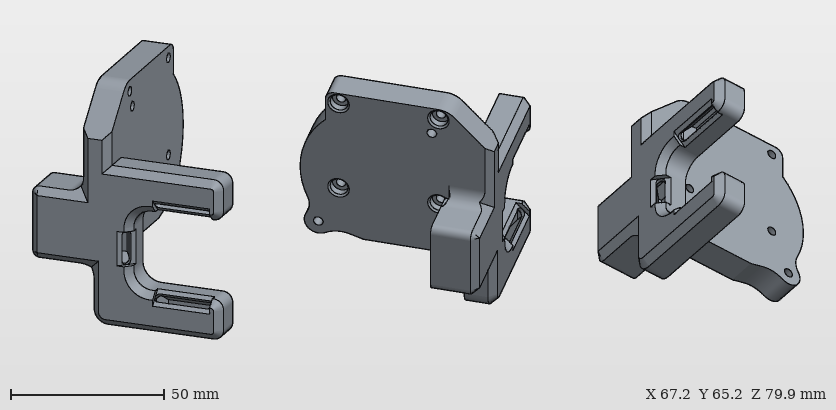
import cadquery as cq
import math


plate_thickness = 10.0
part_height = 79.94
slope_foot_height = 64.8
slope_radius = 8.0
plate_bottom = 23.0

fork_depth = 10.6
foot_left = 3.7
arm_width = 14.0
arm_gap = 27.56
arm_end = 49.29
web_width = 14.0
arm_tip_radius = 3.5
foot_radius = 5.0
throat_radius = 6.5

pad_left = -17.9
pad_bottom = 20.0
pad_height = 24.9
pad_depth = 16.0
pad_corner_radius = 2.5
blend_radius = 5.0

front_chamfer = 2.5

hole_diameter = 3.2
hole_pitch = 33.85
top_hole_inset = 4.0
first_hole_y = 18.25
counterbore_diameter = 6.0
counterbore_depth = 3.2
counterbore_chamfer = 0.65
extra_hole = (20.5, 70.0)

rear_edge = 56.6
rear_corner_radius = 3.0
plate_rear = 65.16
bulge_height = 48.5
upper_bulge_radius = 28.0
lower_bulge_radius = 29.5
ear_center = (58.95, 27.45)
ear_radius = 4.8
neck_radius = 7.3
hollow_radius = 10.9
hollow_center_y = 51.2
tail_y = 43.6

slot_width = 3.0
slot_depth = 1.5
arm_slot_length = 20.0
arm_slot_tip_margin = 4.0
throat_slot_length = 12.0
recess_depth = 4.54
arm_recess_width = 4.54
throat_recess_width = 5.0
chamber_width = 4.0
chamber_overhang = 0.3
chamber_depth = 7.4
chamber_back = 7.1
chamber_bevel = 3.0

relief_start = (-6.0, pad_depth)
relief_deepest = (-0.9, 14.05)
relief_end = (0.0, 14.7)

pad_top = pad_bottom + pad_height
throat_x = foot_left + web_width
throat_bottom = arm_width
throat_top = arm_width + arm_gap
fork_top = throat_top + arm_width
throat_mid = (throat_bottom + throat_top) / 2
arm_slot_x = arm_end - arm_slot_tip_margin - arm_slot_length / 2
top_hole_z = part_height - top_hole_inset
cut_size = 2 * part_height
match_tolerance = 0.01


def circle_point(center, radius, toward):
    """Point on a circle in the direction of another point."""
    distance = math.dist(center, toward)
    return tuple(c + radius * (t - c) / distance for c, t in zip(center, toward))


def arc_middle(center, radius, start, end):
    """Middle point of the shorter arc between two points of a circle."""
    return circle_point(center, radius, ((start[0] + end[0]) / 2, (start[1] + end[1]) / 2))


def outer_intersection(first, first_distance, second, second_distance):
    """Point at the given distances from two points, on the right of first -> second."""
    span = math.dist(first, second)
    along = (first_distance**2 - second_distance**2 + span**2) / (2 * span)
    across = math.sqrt(first_distance**2 - along**2)
    unit = ((second[0] - first[0]) / span, (second[1] - first[1]) / span)
    return (
        first[0] + along * unit[0] + across * unit[1],
        first[1] + along * unit[1] - across * unit[0],
    )


def edges_along_y(body, points):
    """Edges parallel to Y that pass through the given (X, Z) points."""
    chosen = []
    for edge in body.edges("|Y").vals():
        middle = edge.Center()
        if any(math.dist((middle.x, middle.z), point) < match_tolerance for point in points):
            chosen.append(edge)
    return body.newObject(chosen)


def front_body():
    """Fork, pad and front strip of the plate, chamfered all round the front face."""
    outline = [
        (pad_left, pad_bottom),
        (foot_left, pad_bottom),
        (foot_left, 0),
        (arm_end, 0),
        (arm_end, throat_bottom),
        (throat_x, throat_bottom),
        (throat_x, throat_top),
        (arm_end, throat_top),
        (arm_end, fork_top),
        (plate_thickness, fork_top),
        (plate_thickness, part_height),
        (0, part_height),
        (0, pad_top),
        (pad_left, pad_top),
    ]
    body = cq.Workplane("XZ").polyline(outline).close().extrude(-fork_depth)
    pad_rear = cq.Workplane("XY").box(
        plate_thickness - pad_left, pad_depth, pad_height, centered=False
    ).translate((pad_left, 0, pad_bottom))
    plate_front = cq.Workplane("XY").box(
        plate_thickness, pad_depth, part_height - pad_bottom, centered=False
    ).translate((0, 0, pad_bottom))
    body = body.union(pad_rear).union(plate_front)

    arm_tips = [(arm_end, z) for z in (0, throat_bottom, throat_top, fork_top)]
    throat = [(throat_x, throat_bottom), (throat_x, throat_top)]
    pad_corners = [(pad_left, pad_bottom), (pad_left, pad_top)]
    body = edges_along_y(body, arm_tips).fillet(arm_tip_radius)
    body = edges_along_y(body, throat).fillet(throat_radius)
    body = edges_along_y(body, [(foot_left, 0)]).fillet(foot_radius)
    body = edges_along_y(body, pad_corners).fillet(pad_corner_radius)
    return body.faces("<Y").chamfer(front_chamfer)


def plate():
    """Upright plate with its curved rear contour."""
    upper_center = (plate_rear - upper_bulge_radius, bulge_height)
    lower_center = (plate_rear - lower_bulge_radius, bulge_height)
    bulge_rear = (plate_rear, bulge_height)

    rise = math.sqrt(upper_bulge_radius**2 - (rear_edge - upper_center[0]) ** 2)
    bulge_top = (rear_edge, bulge_height + rise)

    neck_center = outer_intersection(
        ear_center, ear_radius + neck_radius, lower_center, lower_bulge_radius + neck_radius
    )
    neck_top = circle_point(neck_center, neck_radius, lower_center)
    ear_top = circle_point(ear_center, ear_radius, neck_center)

    hollow_reach = ear_radius + hollow_radius
    hollow_offset = hollow_center_y - ear_center[0]
    hollow_center = (hollow_center_y, ear_center[1] - math.sqrt(hollow_reach**2 - hollow_offset**2))
    ear_bottom = circle_point(ear_center, ear_radius, hollow_center)
    ear_far = circle_point(ear_center, -ear_radius, lower_center)

    tail = (tail_y, plate_bottom)
    tail_length = math.sqrt(math.dist(tail, hollow_center) ** 2 - hollow_radius**2)
    hollow_end = outer_intersection(hollow_center, hollow_radius, tail, tail_length)

    body = (
        cq.Workplane("YZ")
        .moveTo(fork_depth / 2, plate_bottom)
        .lineTo(*tail)
        .lineTo(*hollow_end)
        .threePointArc(arc_middle(hollow_center, hollow_radius, hollow_end, ear_bottom), ear_bottom)
        .threePointArc(ear_far, ear_top)
        .threePointArc(arc_middle(neck_center, neck_radius, ear_top, neck_top), neck_top)
        .threePointArc(arc_middle(lower_center, lower_bulge_radius, neck_top, bulge_rear), bulge_rear)
        .threePointArc(arc_middle(upper_center, upper_bulge_radius, bulge_rear, bulge_top), bulge_top)
        .lineTo(rear_edge, part_height)
        .lineTo(fork_depth / 2, part_height)
        .close()
        .extrude(plate_thickness)
    )
    return body.faces(">Z").edges(">Y").fillet(rear_corner_radius)


def slope_cutter():
    """Wedge that cuts the 45 degree slope, rounded into the top of the plate."""
    slope_top_y = part_height - slope_foot_height
    tangent = slope_radius * math.tan(math.pi / 8)
    arc_start = (slope_top_y + tangent, part_height)
    arc_center = (arc_start[0], part_height - slope_radius)
    leg = tangent * math.sqrt(0.5)
    arc_end = (slope_top_y - leg, part_height - leg)
    return (
        cq.Workplane("YZ")
        .moveTo(*arc_start)
        .threePointArc(arc_middle(arc_center, slope_radius, arc_start, arc_end), arc_end)
        .lineTo(0, slope_foot_height)
        .lineTo(-slope_foot_height, 0)
        .lineTo(-slope_foot_height, cut_size)
        .lineTo(arc_start[0], cut_size)
        .close()
        .extrude(cut_size, both=True)
    )


def pad_blend_relief():
    """Space above the pad that ends the upper blend short of the screw hole."""
    return (
        cq.Workplane("XY", origin=(0, 0, pad_top))
        .polyline([relief_start, relief_deepest, relief_end, (0, pad_depth)])
        .close()
        .extrude(blend_radius)
    )


def screw_holes():
    """Four counterbored holes on a square pitch, with their edge chamfer."""
    cutters = cq.Workplane("YZ")
    half_sink = counterbore_diameter / 2
    for y in (first_hole_y, first_hole_y + hole_pitch):
        for z in (top_hole_z, top_hole_z - hole_pitch):
            spot = (0, y, z)
            base = cq.Workplane("YZ", origin=spot)
            through = base.circle(hole_diameter / 2).extrude(plate_thickness)
            sink = base.circle(half_sink).extrude(counterbore_depth)
            cone = cq.Workplane(
                cq.Solid.makeCone(
                    half_sink + counterbore_chamfer,
                    half_sink,
                    counterbore_chamfer,
                    pnt=cq.Vector(*spot),
                    dir=cq.Vector(1, 0, 0),
                )
            )
            cutters = cutters.add(through.union(sink).union(cone))
    return cutters.combine()


def plain_holes():
    """Through holes in the ear and next to the top front screw."""
    return (
        cq.Workplane("YZ")
        .pushPoints([ear_center, extra_hole])
        .circle(hole_diameter / 2)
        .extrude(plate_thickness)
    )


def throat_slot(length, recess_width):
    """Bevelled recess, slot and inner chamber for an edge along X, with material toward +Z."""
    recess = (
        cq.Workplane("YZ")
        .polyline([(0, 0), (recess_depth, 0), (0, recess_width)])
        .close()
        .extrude(length / 2, both=True)
    )
    face = cq.Plane(
        origin=(0, recess_depth / 2, recess_width / 2),
        xDir=(1, 0, 0),
        normal=(0, recess_width, recess_depth),
    )
    slot = cq.Workplane(face).slot2D(length, slot_width).extrude(slot_depth)

    chamber_length = length + 2 * chamber_overhang
    chamber = (
        cq.Workplane(face)
        .workplane(offset=slot_depth)
        .rect(chamber_length, chamber_width)
        .extrude(chamber_depth - slot_depth)
    )
    chamber_limit = (
        cq.Workplane("XY")
        .rect(chamber_length, 2 * chamber_back)
        .extrude(arm_width)
        .edges("|Z and >Y")
        .chamfer(chamber_bevel)
    )
    return recess.union(slot).union(chamber.intersect(chamber_limit))


def throat_slots():
    """One slot in each arm and one in the web between them."""
    origin = (0, 0, 0)
    y_axis = (0, 1, 0)
    arm_slot = throat_slot(arm_slot_length, arm_recess_width)
    upper = arm_slot.translate((arm_slot_x, 0, throat_top))
    lower = arm_slot.rotate(origin, y_axis, 180).translate((arm_slot_x, 0, throat_bottom))
    web = throat_slot(throat_slot_length, throat_recess_width)
    web = web.rotate(origin, y_axis, -90).translate((throat_x, 0, throat_mid))
    return upper.union(lower).union(web)


body = front_body()
blend_edges = edges_along_y(body, [(0, pad_top), (foot_left, pad_bottom)])
body = blend_edges.fillet(blend_radius)
body = body.cut(pad_blend_relief())
body = body.union(plate()).cut(slope_cutter())
for cutter in (screw_holes(), plain_holes(), throat_slots()):
    body = body.cut(cutter)
result = body